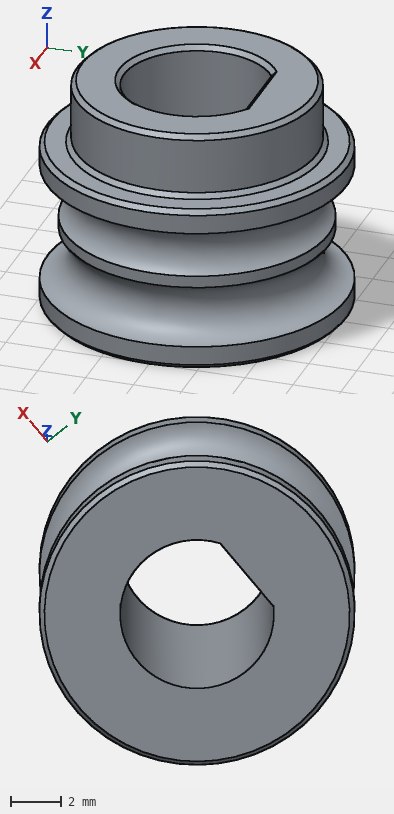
import cadquery as cq
import math

flange_radius = 6.25
flange_thickness = 1.0
hub_radius = 5.0
rib_radius = 5.5
total_height = 9.7
flange_top = 7.0
groove_radius = 1.25
edge_break = 0.2
bore_radius = 3.05
bore_flat_y = 2.55

lower_groove_z = flange_thickness + groove_radius
upper_groove_z = flange_top - flange_thickness - groove_radius
rib_offset = math.sqrt(groove_radius**2 - (flange_radius - rib_radius)**2)
groove_floor = flange_radius - groove_radius


def make_body():
    """Revolve the half section of the flanges, grooves, rib and hub."""
    profile = (
        cq.Workplane("XZ")
        .moveTo(0, 0)
        .lineTo(flange_radius - edge_break, 0)
        .lineTo(flange_radius, edge_break)
        .lineTo(flange_radius, flange_thickness)
        .threePointArc((groove_floor, lower_groove_z), (rib_radius, lower_groove_z + rib_offset))
        .lineTo(rib_radius, upper_groove_z - rib_offset)
        .threePointArc((groove_floor, upper_groove_z), (flange_radius, flange_top - flange_thickness))
        .lineTo(flange_radius, flange_top - edge_break)
        .lineTo(flange_radius - edge_break, flange_top)
        .lineTo(hub_radius + edge_break, flange_top)
        .lineTo(hub_radius, flange_top + edge_break)
        .lineTo(hub_radius, total_height - edge_break)
        .lineTo(hub_radius - edge_break, total_height)
        .lineTo(0, total_height)
        .close()
    )
    return profile.revolve(360, (0, 0, 0), (0, 1, 0))


def make_bore():
    """Build the D-shaped through bore, with its flat on the +Y side."""
    half_flat = math.sqrt(bore_radius**2 - bore_flat_y**2)
    return (
        cq.Workplane("XY")
        .moveTo(-half_flat, bore_flat_y)
        .threePointArc((0, -bore_radius), (half_flat, bore_flat_y))
        .close()
        .extrude(total_height)
    )


bored = make_body().cut(make_bore())
bore_rim = bored.faces(">Z").val().innerWires()[0]
result = bored.newObject(bore_rim.Edges()).chamfer(edge_break)